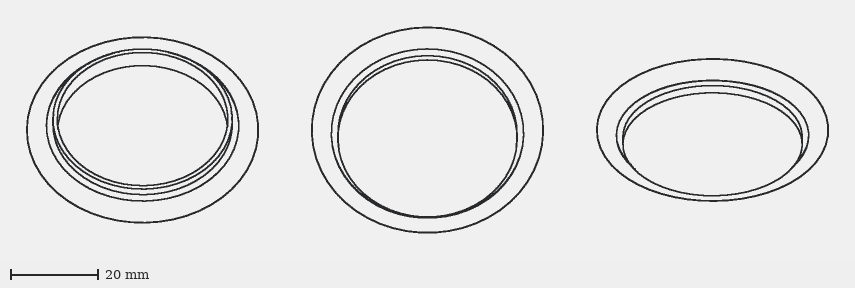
import cadquery as cq

seal_outer_radius = 26.5
seal_section_radius = 2.5
seal_center_radius = seal_outer_radius - seal_section_radius

cup_height = 8.0
cup_outer_radius = 20.5
cup_wall = 1.0
cup_inner_radius = cup_outer_radius - cup_wall
cup_depth = 4.8
rim_outer_radius = 22.0
rim_height = 3.9
rim_edge_fillet = 0.25


def make_seal():
    """O-ring centred on the XY plane."""
    return (
        cq.Workplane("XZ")
        .center(seal_center_radius, 0)
        .circle(seal_section_radius)
        .revolve(360, (-seal_center_radius, 0), (-seal_center_radius, 1))
    )


def make_cup():
    """Open-topped cup with a rounded rim at mid-height."""
    wall = cq.Workplane("XY").circle(cup_outer_radius).extrude(cup_height / 2, both=True)
    rim = (
        cq.Workplane("XY")
        .circle(rim_outer_radius)
        .extrude(rim_height / 2, both=True)
        .faces("<Z or >Z")
        .edges()
        .fillet(rim_edge_fillet)
    )
    pocket = (
        cq.Workplane("XY")
        .workplane(offset=cup_height / 2 - cup_depth)
        .circle(cup_inner_radius)
        .extrude(cup_depth)
    )
    return wall.union(rim).cut(pocket)


seal = make_seal()
cup = make_cup().cut(seal)

result = cq.Compound.makeCompound([cup.val(), seal.val()])